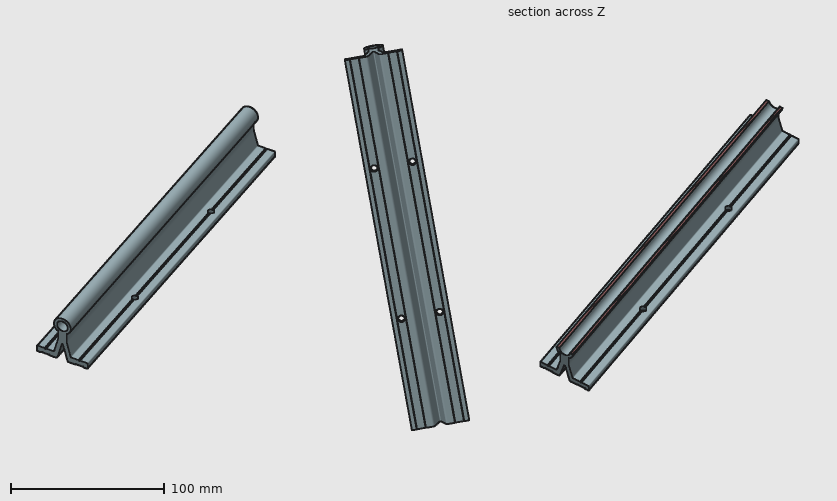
import cadquery as cq
import math

length = 250.0
base_width = 38.1
total_height = 34.92

tube_diameter = 12.7
bore_diameter = 8.0
stem_width = 6.35

leg_angle = 15.0
leg_top_z = 16.5
splay_radius = 8.0
fork_apex_z = 14.8
fork_radius = 0.5
root_radius = 0.8

foot_thickness = 4.8
foot_edge_radius = 0.75
heel_radius = 1.5

relief_width = 6.35
relief_depth = 0.4
relief_flare = 0.4

hole_diameter = 4.3
hole_x = base_width / 3
hole_y = 50.8

groove_width = 1.2
groove_depth = 0.6

half_base = base_width / 2
half_stem = stem_width / 2
tube_center_z = total_height - tube_diameter / 2
lean = math.tan(math.radians(leg_angle))


def extrude_profile(sketch):
    """Extrude an XZ profile over the full length, centred on Y = 0."""
    return sketch.extrude(length / 2, both=True)


def edges_at(x, z):
    """Select the lengthwise edges passing through (x, z) and its mirror image."""
    reach = 0.01
    boxes = [
        cq.selectors.BoxSelector(
            (side * x - reach, -length, z - reach),
            (side * x + reach, length, z + reach),
        )
        for side in (-1, 1)
    ]
    return boxes[0] + boxes[1]


def make_base():
    """Stem, legs and feet, with rounded foot edges and a blended splay."""
    leg_foot_x = half_stem + (leg_top_z - foot_thickness) * lean
    heel_x = fork_apex_z * lean
    right_side = [
        (heel_x, 0),
        (half_base, 0),
        (half_base, foot_thickness),
        (leg_foot_x, foot_thickness),
        (half_stem, leg_top_z),
        (half_stem, tube_center_z),
    ]
    left_side = [(-x, z) for x, z in reversed(right_side)]
    outline = [(0, fork_apex_z)] + right_side + left_side
    base = extrude_profile(cq.Workplane("XZ").polyline(outline).close())
    base = base.edges(edges_at(half_stem, leg_top_z)).fillet(splay_radius)
    base = base.edges(edges_at(0, fork_apex_z)).fillet(fork_radius)
    base = base.edges(edges_at(leg_foot_x, foot_thickness)).fillet(root_radius)
    base = base.edges(edges_at(heel_x, 0)).fillet(heel_radius)
    for z in (0, foot_thickness):
        base = base.edges(edges_at(half_base, z)).fillet(foot_edge_radius)
    return base


def make_circle_bar(diameter):
    """Full-length round bar on the tube axis."""
    return extrude_profile(cq.Workplane("XZ").center(0, tube_center_z).circle(diameter / 2))


def make_foot_cuts(side):
    """Bottom relief, locating groove and screw holes of one foot."""
    center_x = side * hole_x
    relief = extrude_profile(
        cq.Workplane("XZ")
        .moveTo(center_x - relief_width / 2, 0)
        .lineTo(center_x - relief_width / 2 + relief_flare, relief_depth)
        .lineTo(center_x + relief_width / 2 - relief_flare, relief_depth)
        .lineTo(center_x + relief_width / 2, 0)
        .close()
    )
    groove = extrude_profile(
        cq.Workplane("XZ")
        .moveTo(center_x - groove_width / 2, foot_thickness)
        .lineTo(center_x, foot_thickness - groove_depth)
        .lineTo(center_x + groove_width / 2, foot_thickness)
        .close()
    )
    holes = (
        cq.Workplane("XY")
        .pushPoints([(center_x, -hole_y), (center_x, hole_y)])
        .circle(hole_diameter / 2)
        .extrude(foot_thickness)
    )
    return relief.union(groove).union(holes)


result = make_base().union(make_circle_bar(tube_diameter)).cut(make_circle_bar(bore_diameter))
for side in (-1, 1):
    result = result.cut(make_foot_cuts(side))